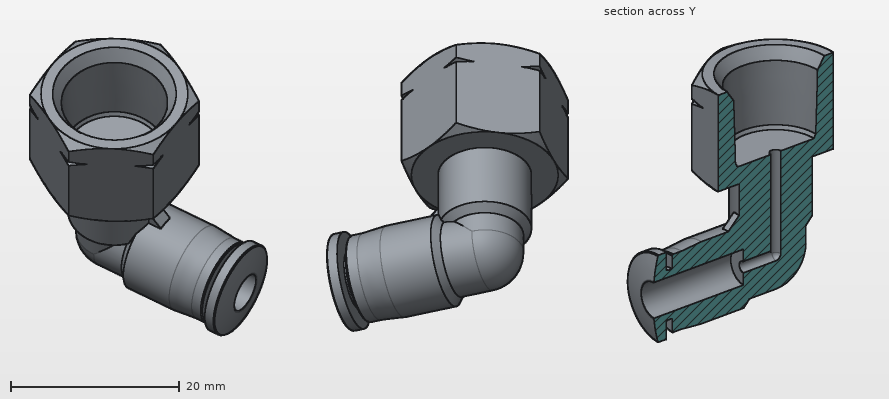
import cadquery as cq
import math

total_length = 27.2
total_height = 30.35

across_flats = 17.45
nut_height = 13.05
hex_sides = 6
hex_half_angle = 180.0 / hex_sides
crown_angle = 30.0
groove_drop = 2.97
groove_half_height = 0.33
groove_root_radius = 9.2

mouth_diameter = 14.7
mouth_depth = 1.58
thread_diameter = 12.63
thread_end_diameter = 12.08
floor_diameter = 11.53
thread_depth = 10.1
socket_depth = 10.62

body_diameter = 11.1
elbow_diameter = 9.23
stem_bottom = 3.45
stem_shoulder_height = 0.97
rib_reach = 1.65
rib_width = 2.0

shoulder_x = 3.95
shoulder_end_x = 4.83
arm_diameter = 11.15
taper_start_x = 11.25
taper_end_x = 14.25
sleeve_end_x = 15.72
sleeve_diameter = 10.6
sleeve_chamfer = 0.15

ring_diameter = 11.8
neck_diameter = 6.77
neck_flare_x = 16.33
neck_flare = 0.1
ring_back_x = 16.55
ring_rim_x = 17.75
ring_edge_radius_drop = 0.12
ring_edge_length = 0.12
dome_mid_diameter = 8.5
dome_mid_inset = 0.25
dome_end_diameter = 5.15

passage_diameter = 1.5
tube_diameter = 4.75
tube_stop_x = 4.92

nut_top = total_height - ring_diameter / 2
nut_bottom = nut_top - nut_height
corner_radius = across_flats / 2 / math.cos(math.radians(hex_half_angle))
arm_end_x = total_length - across_flats / 2
body_radius = body_diameter / 2
elbow_radius = elbow_diameter / 2


def revolve_about_z(profile):
    """Turn a closed (radius, z) outline around the stem axis."""
    return cq.Workplane("XZ").polyline(profile).close().revolve(360, (0, 0), (0, 1))


def make_nut():
    crown_drop = (corner_radius - across_flats / 2) * math.tan(math.radians(crown_angle))
    nut = (
        cq.Workplane("XY", origin=(0, 0, nut_bottom))
        .polygon(hex_sides, 2 * corner_radius)
        .extrude(nut_height)
        .rotate((0, 0, 0), (0, 0, 1), hex_half_angle)
    )
    crown = revolve_about_z([
        (0, nut_bottom),
        (across_flats / 2, nut_bottom),
        (corner_radius, nut_bottom + crown_drop),
        (corner_radius, nut_top - crown_drop),
        (across_flats / 2, nut_top),
        (0, nut_top),
    ])
    groove_z = nut_top - groove_drop
    groove = revolve_about_z([
        (groove_root_radius, groove_z),
        (corner_radius, groove_z + groove_half_height),
        (corner_radius, groove_z - groove_half_height),
    ])
    return nut.intersect(crown).cut(groove)


def make_socket():
    return revolve_about_z([
        (0, nut_top),
        (mouth_diameter / 2, nut_top),
        (thread_diameter / 2, nut_top - mouth_depth),
        (thread_end_diameter / 2, nut_top - thread_depth),
        (floor_diameter / 2, nut_top - socket_depth),
        (0, nut_top - socket_depth),
    ])


def make_stem():
    return revolve_about_z([
        (0, 0),
        (elbow_radius, 0),
        (elbow_radius, stem_bottom - stem_shoulder_height),
        (body_radius, stem_bottom),
        (body_radius, nut_bottom),
        (0, nut_bottom),
    ])


def make_arm():
    arm_radius = arm_diameter / 2
    sleeve_radius = sleeve_diameter / 2
    neck_radius = neck_diameter / 2
    ring_radius = ring_diameter / 2
    dome_middle = (arm_end_x - dome_mid_inset, dome_mid_diameter / 2)
    dome_end = (arm_end_x, dome_end_diameter / 2)
    profile = (
        cq.Workplane("XZ")
        .moveTo(0, 0)
        .lineTo(0, elbow_radius)
        .lineTo(shoulder_x, elbow_radius)
        .lineTo(shoulder_end_x, arm_radius)
        .lineTo(taper_start_x, arm_radius)
        .lineTo(taper_end_x, sleeve_radius)
        .lineTo(sleeve_end_x - sleeve_chamfer, sleeve_radius)
        .lineTo(sleeve_end_x, sleeve_radius - sleeve_chamfer)
        .lineTo(sleeve_end_x, neck_radius)
        .lineTo(neck_flare_x, neck_radius)
        .lineTo(ring_back_x, neck_radius + neck_flare)
        .lineTo(ring_back_x, ring_radius)
        .lineTo(ring_rim_x, ring_radius)
        .lineTo(ring_rim_x + ring_edge_length, ring_radius - ring_edge_radius_drop)
        .threePointArc(dome_middle, dome_end)
        .lineTo(arm_end_x, 0)
        .close()
    )
    return profile.revolve(360, (0, 0), (1, 0))


def make_rib():
    """Gusset filling the inside corner between the stem and the arm."""
    tip = body_radius + rib_reach
    return (
        cq.Workplane("XZ")
        .polyline([(0, 0), (tip, 0), (tip, body_radius), (body_radius, tip), (0, tip)])
        .close()
        .extrude(rib_width / 2, both=True)
    )


def make_passages():
    """Narrow bent passage from the socket floor to the tube bore in the arm."""
    radius = passage_diameter / 2
    drop = cq.Workplane("XY").circle(radius).extrude(nut_top - socket_depth)
    run = cq.Workplane("YZ").circle(radius).extrude(tube_stop_x)
    bend = cq.Workplane("XY").sphere(radius)
    tube = (
        cq.Workplane("YZ", origin=(tube_stop_x, 0, 0))
        .circle(tube_diameter / 2)
        .extrude(arm_end_x - tube_stop_x)
    )
    return drop.union(run).union(bend).union(tube)


elbow = cq.Workplane("XY").sphere(elbow_radius)
body = make_nut().union(make_stem()).union(elbow).union(make_arm()).union(make_rib())
result = body.cut(make_socket()).cut(make_passages())